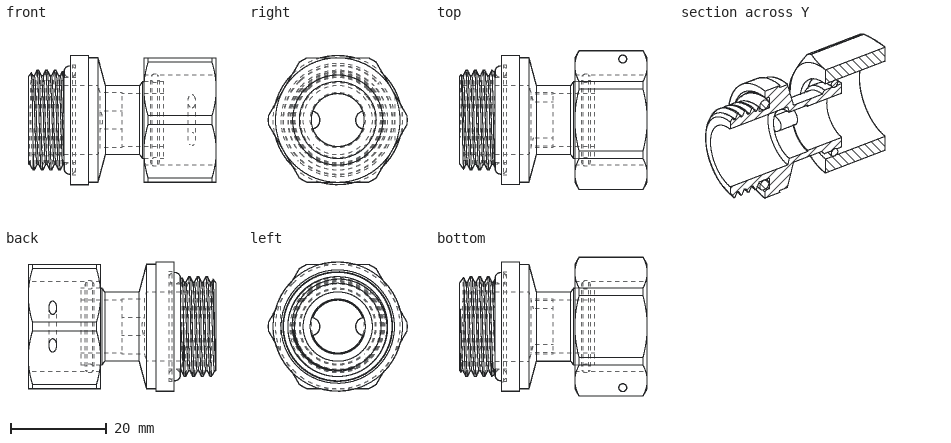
import cadquery as cq
import math


stud_length = 7.4
thread_crest_radius = 10.43
thread_root_radius = 9.3
thread_pitch = 1.8
thread_flat = 0.35
thread_start_x = 0.08
thread_start_angle = 247.6
tip_radius = 9.05
tip_chamfer_length = 1.0
runout_start = 6.82
runout_radius = 9.9

oring_section_radius = 1.2
oring_outer_radius = 11.33
oring_centre_radius = oring_outer_radius - oring_section_radius
oring_inner_radius = oring_centre_radius - oring_section_radius
oring_x = 8.65
oring_far_x = oring_x + oring_section_radius
oring_recess_radius = 11.45
oring_recess_chamfer = 0.4

flange_start = 8.8
flange_radius = 27.0 / 2
rim_start = 12.6
rim_radius = 13.0
rim_end = 14.55
neck_radius = 14.45 / 2
cone_slope = math.tan(math.radians(15))
neck_start = rim_end + (rim_radius - neck_radius) * cone_slope
collar_start = 23.25
collar_chamfer = 0.6
collar_radius = 8.05
body_end = 28.22

inlet_radius = neck_radius
inlet_depth = rim_end
bore_radius = 5.75
bore_start = inlet_depth + (inlet_radius - bore_radius) * cone_slope
outlet_radius = 11.0 / 2
outlet_start = 19.6

rib_radius = 1.92
rib_centre_radius = 5.65

nut_start = 24.1
nut_end = 39.2
nut_length = nut_end - nut_start
nut_flats = 26.0
nut_corner_radius = 14.5
nut_face_radius = nut_flats / 2
nut_chamfer = (nut_corner_radius - nut_face_radius) * math.tan(math.radians(30))
nut_bore_radius = 9.4
seal_hole_radius = 1.6 / 2
seal_hole_x = 34.1
seal_hole_y = 12.75

wire_radius = 0.9
wire_centre_radius = (collar_radius + nut_bore_radius) / 2
wire_x = 26.42


def revolve_about_x(points):
    """Solid of revolution about X from (x, radius) points."""
    return cq.Workplane("XY").polyline(points).close().revolve(360, (0, 0, 0), (1, 0, 0))


def cylinder_along_x(radius, start, end, y=0):
    return cq.Workplane("YZ", origin=(start, y, 0)).circle(radius).extrude(end - start)


def ring_about_x(section_radius, centre_radius, x):
    """Round-section ring centred on the X axis."""
    section = cq.Workplane("XY").center(x, centre_radius).circle(section_radius)
    return section.revolve(360, (-x, -centre_radius, 0), (0.4 - x, -centre_radius, 0))


def make_thread_groove():
    """Right-handed helical groove from the tip chamfer to past the far end of the stud."""
    depth = thread_crest_radius - thread_root_radius
    flank_run = thread_pitch / 2 - thread_flat
    overshoot = 0.3
    mouth = thread_flat / 2 + flank_run * (1 + overshoot)
    floor = thread_flat / 2
    outer_radius = thread_crest_radius + depth * overshoot
    helix = cq.Wire.makeHelix(thread_pitch, stud_length + thread_pitch, thread_root_radius)
    groove = (
        cq.Workplane("XZ")
        .polyline([
            (thread_root_radius, -floor),
            (outer_radius, -mouth),
            (outer_radius, mouth),
            (thread_root_radius, floor),
        ])
        .close()
        .sweep(cq.Workplane(helix), isFrenet=True)
    )
    groove = groove.rotate((0, 0, 0), (1, 1, 1), 120)
    groove = groove.rotate((0, 0, 0), (1, 0, 0), thread_start_angle)
    return groove.translate((thread_start_x, 0, 0))


def make_stud():
    blank = revolve_about_x([
        (0, 0),
        (0, tip_radius),
        (tip_chamfer_length, thread_crest_radius),
        (runout_start, thread_crest_radius),
        (stud_length, runout_radius),
        (stud_length, 0),
    ])
    blank = blank.rotate((0, 0, 0), (1, 0, 0), 90)
    return blank.cut(make_thread_groove())


def make_body():
    """Stud, flange, neck and collar in one piece, bored through."""
    shank = revolve_about_x([
        (stud_length, 0),
        (stud_length, oring_inner_radius),
        (oring_far_x, oring_inner_radius),
        (oring_far_x, oring_recess_radius),
        (flange_start + oring_recess_chamfer, oring_recess_radius),
        (flange_start, oring_recess_radius + oring_recess_chamfer),
        (flange_start, flange_radius),
        (rim_start, flange_radius),
        (rim_start, rim_radius),
        (rim_end, rim_radius),
        (neck_start, neck_radius),
        (collar_start, neck_radius),
        (collar_start + collar_chamfer, collar_radius),
        (body_end, collar_radius),
        (body_end, 0),
    ])
    bore = revolve_about_x([
        (0, 0),
        (0, inlet_radius),
        (inlet_depth, inlet_radius),
        (bore_start, bore_radius),
        (outlet_start, bore_radius),
        (outlet_start, outlet_radius),
        (body_end, outlet_radius),
        (body_end, 0),
    ])
    return make_stud().union(shank).cut(bore).cut(make_wire_ring())


def make_oring():
    return ring_about_x(oring_section_radius, oring_centre_radius, oring_x)


def make_wire_ring():
    return ring_about_x(wire_radius, wire_centre_radius, wire_x)


def make_rib(side):
    """Rib on the +Y (side = 1) or -Y (side = -1) wall; its front end carries on the inlet cone."""
    rod = cylinder_along_x(rib_radius, bore_start, outlet_start, side * rib_centre_radius)
    bore_space = revolve_about_x([
        (bore_start + bore_radius * cone_slope, 0),
        (bore_start, bore_radius),
        (outlet_start, bore_radius),
        (outlet_start, 0),
    ])
    return rod.intersect(bore_space)


def make_nut():
    """Hexagon nut with corners at +Y and -Y, turned corners and both ends chamfered."""
    hexagon = (
        cq.Workplane("YZ", origin=(nut_start, 0, 0))
        .polygon(6, nut_flats / math.cos(math.radians(30)))
        .extrude(nut_length)
    )
    turned = revolve_about_x([
        (nut_start, 0),
        (nut_start, nut_face_radius),
        (nut_start + nut_chamfer, nut_corner_radius),
        (nut_end - nut_chamfer, nut_corner_radius),
        (nut_end, nut_face_radius),
        (nut_end, 0),
    ])
    seal_hole = (
        cq.Workplane("XY", origin=(seal_hole_x, seal_hole_y, -nut_flats / 2))
        .circle(seal_hole_radius)
        .extrude(nut_flats)
    )
    bore = cylinder_along_x(nut_bore_radius, nut_start, nut_end)
    return hexagon.intersect(turned).cut(bore).cut(seal_hole).cut(make_wire_ring())


body = make_body()
oring = make_oring()
wire_ring = make_wire_ring()
nut = make_nut()
ribs = [make_rib(side) for side in (1, -1)]

result = cq.Compound.makeCompound([
    body.val(),
    oring.val(),
    wire_ring.val(),
    nut.val(),
    *[rib.val() for rib in ribs],
])